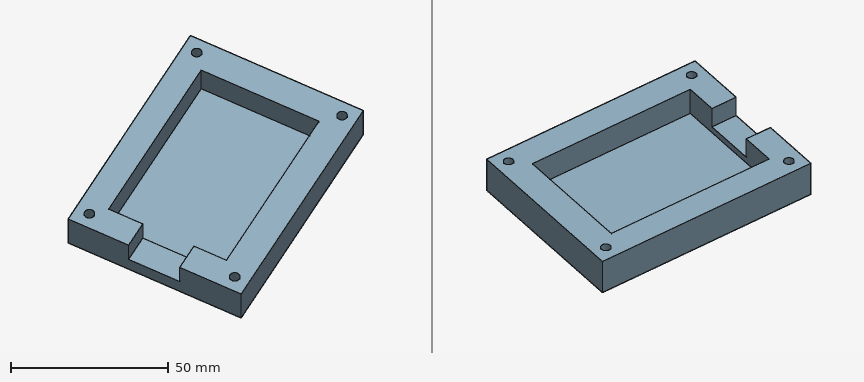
import cadquery as cq

width = 62.55
length = 82.2
height = 13.0

pocket_width = 42.6
pocket_length = 62.2
pocket_margin = 9.5
pocket_depth = 10.0

notch_width = 18.5
notch_left = 21.9
notch_depth = 7.65

hole_diameter = 3.4
hole_inset = 5.0


def top_cutter(x, y, size_x, size_y, depth):
    """Box reaching down from the top face, placed by its lowest X and Y."""
    cutter = cq.Workplane("XY").box(size_x, size_y, depth, centered=False)
    return cutter.translate((x, y, height - depth))


block = cq.Workplane("XY").box(width, length, height, centered=False)

pocket = top_cutter(pocket_margin, pocket_margin, pocket_width, pocket_length, pocket_depth)
notch = top_cutter(notch_left, 0, notch_width, pocket_margin, notch_depth)

hole_centers = [
    (x, y)
    for x in (hole_inset, width - hole_inset)
    for y in (hole_inset, length - hole_inset)
]
holes = cq.Workplane("XY").pushPoints(hole_centers).circle(hole_diameter / 2).extrude(height)

result = block.cut(pocket).cut(notch).cut(holes)